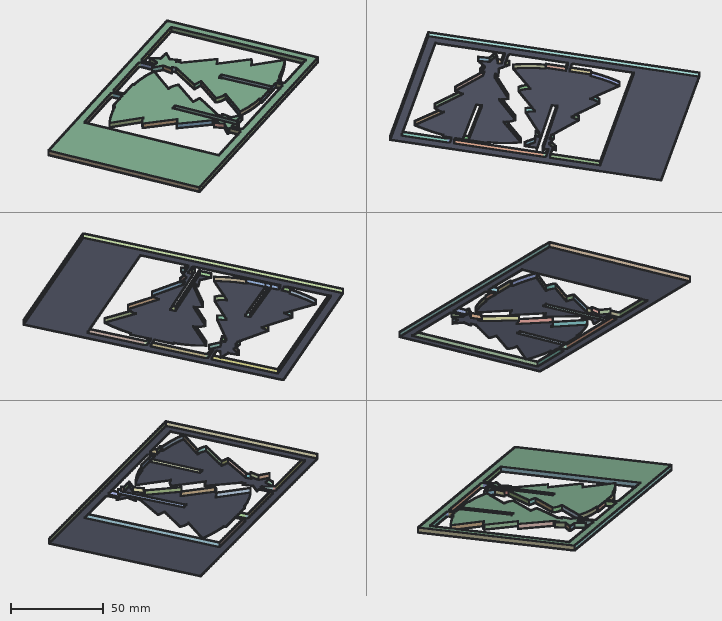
import cadquery as cq
import math

CARD_WIDTH = 90.0
CARD_LENGTH = 150.0
THICKNESS = 2.8
SIDE_BORDER = 5.0
BOTTOM_STRIP = 35.0
WINDOW_LENGTH = 110.0
WINDOW_WIDTH = CARD_WIDTH - 2 * SIDE_BORDER
WINDOW_CENTER_Y = -CARD_LENGTH / 2 + BOTTOM_STRIP + WINDOW_LENGTH / 2

STAR_ARMS = 67.0
STAR_TIP = 72.6

LEFT_POINTING_X = 35.7
LEFT_POINTING_Y = 35.4
RIGHT_POINTING_X = -33.5
RIGHT_POINTING_Y = -5.2

SLOT_WIDTH = 3.2
SLOT_TILT = 0.9
SLOT_MEETING = 30.2
SLOT_OFFSET = 0.5
BASE_WEB = 0.2
BASE_SLOT_LENGTH = SLOT_MEETING - BASE_WEB
STAR_SLOT_OVERRUN = 1.5
STAR_SLOT_LENGTH = STAR_TIP - SLOT_MEETING + STAR_SLOT_OVERRUN

TAB_WIDTH = 2.0
TAB_FILLET = 1.0
TAB_OVERLAP = 0.6
LEFT_POINTING_BASE_TAB_Y = 42.2
LEFT_POINTING_STAR_TAB_Y = 30.3
RIGHT_POINTING_BASE_TAB_Y = -4.8
RIGHT_POINTING_STAR_TAB_Y = -11.0


def solid_tree():
    """Slightly uneven tree with its base edge on the Y axis and its star pointing along +X."""
    return (
        cq.Workplane("XY")
        .moveTo(0, -12.6)
        .lineTo(0, 12.5)
        .lineTo(0.8, 12.5)
        .threePointArc((2.1, 21.5), (4.6, 29.5))
        .lineTo(19.5, 16.4)
        .threePointArc((20.5, 20.0), (22.5, 22.4))
        .lineTo(37.2, 9.8)
        .lineTo(38.8, 14.7)
        .lineTo(55.2, 3.0)
        .lineTo(57.8, 3.0)
        .lineTo(56.7, 5.0)
        .lineTo(62.5, 3.8)
        .lineTo(STAR_ARMS, 8.5)
        .lineTo(STAR_ARMS, 2.1)
        .lineTo(STAR_TIP, -0.3)
        .lineTo(STAR_ARMS, -2.5)
        .lineTo(66.6, -8.7)
        .lineTo(62.2, -3.9)
        .lineTo(56.7, -5.4)
        .lineTo(58.2, -3.3)
        .lineTo(55.0, -3.3)
        .lineTo(39.0, -15.0)
        .lineTo(37.4, -10.4)
        .lineTo(22.5, -22.5)
        .threePointArc((20.8, -20.0), (20.1, -16.8))
        .lineTo(5.8, -29.7)
        .threePointArc((3.0, -21.0), (1.2, -12.6))
        .close()
        .extrude(THICKNESS)
    )


def slot(length, tilt, direction):
    """Slot running from the meeting point along the trunk, towards the star (+1) or base (-1)."""
    return (
        cq.Workplane("XY")
        .box(length, SLOT_WIDTH, THICKNESS, centered=(True, True, False))
        .translate((direction * length / 2, 0, 0))
        .rotate((0, 0, 0), (0, 0, 1), tilt)
        .translate((SLOT_MEETING, SLOT_OFFSET, 0))
    )


def tab(y, tree_edge, wall):
    """Tab from a tree edge to a long window wall, both given by X, flared where it meets the wall."""
    outward = math.copysign(1, wall)
    half = TAB_WIDTH / 2
    start = tree_edge - outward * TAB_OVERLAP
    neck = wall - outward * TAB_FILLET
    arc_radius = outward * TAB_FILLET
    return (
        cq.Workplane("XY")
        .moveTo(start, -half)
        .lineTo(neck, -half)
        .radiusArc((wall, -half - TAB_FILLET), arc_radius)
        .lineTo(wall, half + TAB_FILLET)
        .radiusArc((neck, half), arc_radius)
        .lineTo(start, half)
        .close()
        .extrude(THICKNESS)
        .translate((0, y, 0))
    )


window = (
    cq.Workplane("XY")
    .center(0, WINDOW_CENTER_Y)
    .rect(WINDOW_WIDTH, WINDOW_LENGTH)
    .extrude(THICKNESS)
)
frame = (
    cq.Workplane("XY")
    .rect(CARD_WIDTH, CARD_LENGTH)
    .extrude(THICKNESS)
    .cut(window)
)

right_pointing_tree = (
    solid_tree()
    .cut(slot(STAR_SLOT_LENGTH, -SLOT_TILT, 1))
    .translate((RIGHT_POINTING_X, RIGHT_POINTING_Y, 0))
)
left_pointing_tree = (
    solid_tree()
    .cut(slot(BASE_SLOT_LENGTH, SLOT_TILT, -1))
    .rotate((0, 0, 0), (0, 0, 1), 180)
    .translate((LEFT_POINTING_X, LEFT_POINTING_Y, 0))
)

right_wall = WINDOW_WIDTH / 2
left_wall = -right_wall
tabs = [
    tab(LEFT_POINTING_BASE_TAB_Y, LEFT_POINTING_X, right_wall),
    tab(LEFT_POINTING_STAR_TAB_Y, LEFT_POINTING_X - STAR_ARMS, left_wall),
    tab(RIGHT_POINTING_BASE_TAB_Y, RIGHT_POINTING_X, left_wall),
    tab(RIGHT_POINTING_STAR_TAB_Y, RIGHT_POINTING_X + STAR_ARMS, right_wall),
]

result = frame.union(right_pointing_tree).union(left_pointing_tree)
for holding_tab in tabs:
    result = result.union(holding_tab)